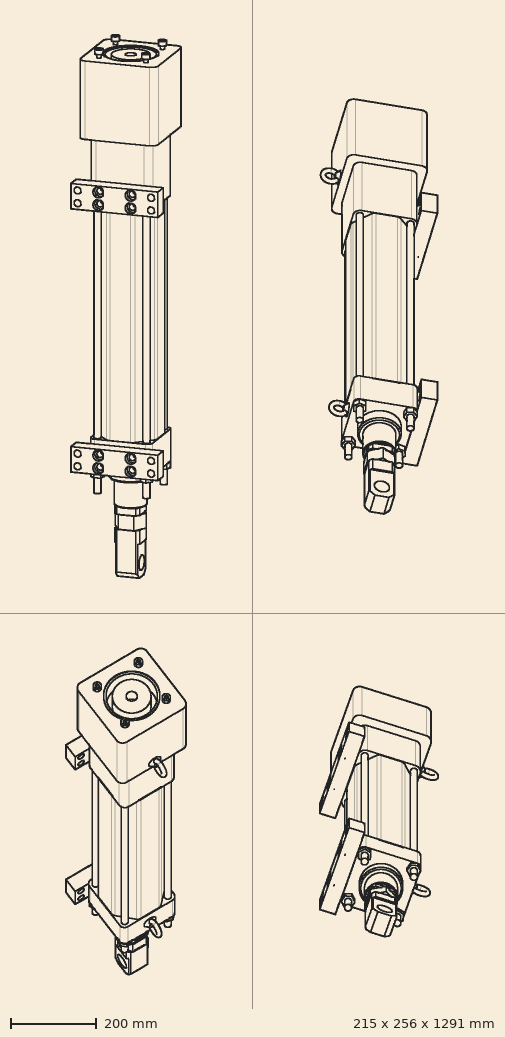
import cadquery as cq
import math

TOTAL_HEIGHT = 1291.0
ROD_END_SHOULDER_Z = 85.0
NUT_BOTTOM_Z = 119.0
ROD_BOTTOM_Z = 155.0
ROD_FLATS_TOP_Z = 173.0
TIE_ROD_BOTTOM_Z = 212.0
NOSE_BOTTOM_Z = 239.0
HEAD_BOTTOM_Z = 267.0
HEAD_TOP_Z = 346.0
COLLAR_BOTTOM_Z = 914.0
MOTOR_BOTTOM_Z = 1079.0
MOTOR_TOP_Z = 1270.0

HEXAGON_SIDES = 6

BODY_SIZE = 152.0
TUBE_SIDES = 8
TUBE_SIZE = 150.0
HEAD_CORNER = 13.0
COLLAR_CORNER = 17.0
TUBE_CORNER = 13.0
MOTOR_SIZE = 192.0
MOTOR_CORNER = 17.0
NOSE_DIAMETER = 102.0
NOSE_CHAMFER = 4.0

TIE_ROD_OFFSET = 61.0
TIE_ROD_DIAMETER = 17.0
TIE_NUT_DIAMETER = 32.0
TIE_NUT_HEIGHT = 15.0

PILOT_DIAMETER = 132.0
PILOT_DEPTH = 3.0
GROOVE_OUTER_DIAMETER = 120.0
GROOVE_INNER_DIAMETER = 90.0
GROOVE_DEPTH = 52.0
SHAFT_HOLE_DIAMETER = 26.0
SHAFT_HOLE_DEPTH = 39.0

SCREW_OFFSET = 58.0
SCREW_HEAD_DIAMETER = 20.0
SCREW_HEAD_HEIGHT = 12.0
SCREW_SHANK_DIAMETER = 10.1
SCREW_SOCKET_DIAMETER = 10.0
SCREW_SOCKET_DEPTH = 6.0

EYEBOLT_RING_DIAMETER = 36.0
EYEBOLT_WIRE_DIAMETER = 12.0
EYEBOLT_STANDOFF = 21.0
EYEBOLT_BASE_DIAMETER = 34.0
EYEBOLT_TIP_DIAMETER = 17.0
EYEBOLT_BASE_HEIGHT = 10.0
EYEBOLT_RISE = 20.0
UPPER_EYEBOLT_Z = MOTOR_BOTTOM_Z + EYEBOLT_RISE
LOWER_EYEBOLT_Z = (HEAD_BOTTOM_Z + HEAD_TOP_Z) / 2

FOOT_LENGTH = 215.0
FOOT_THICKNESS = 39.0
FOOT_HEIGHT = 62.0
FOOT_CENTRES_Z = (303.0, 944.0)
FOOT_ROW_SPACING = 31.0
FOOT_HOLE_SPACING = 182.0
FOOT_HOLE_DIAMETER = 17.0
FOOT_BOLT_SPACING = 80.0
FOOT_BOLT_DIAMETER = 15.0
FOOT_COUNTERBORE_DIAMETER = 26.0
FOOT_COUNTERBORE_DEPTH = 13.0

ROD_DIAMETER = 77.0
ROD_FLATS = 62.0
ROD_CHAMFER = 3.0
NUT_DIAMETER = 77.0
EYE_THICKNESS = 54.0
EYE_HOLE_DIAMETER = 36.0
EYE_HOLE_Z = 34.0
EYE_END_CHAMFER = 14.0


def corners(offset):
    """The four points at +-offset in X and Y."""
    return [(x, y) for x in (-offset, offset) for y in (-offset, offset)]


def cylinder(diameter, bottom, top):
    return cq.Workplane("XY", origin=(0, 0, bottom)).circle(diameter / 2).extrude(top - bottom)


def rounded_block(size, corner, bottom, top):
    block = cq.Workplane("XY", origin=(0, 0, bottom)).rect(size, size).extrude(top - bottom)
    return block.edges("|Z").fillet(corner)


def flatted_bar(width_x, width_y, bottom, top):
    """A round bar of the rod diameter with two pairs of flats."""
    flats = cq.Workplane("XY", origin=(0, 0, bottom)).rect(width_x, width_y).extrude(top - bottom)
    return cylinder(ROD_DIAMETER, bottom, top).intersect(flats)


def octagonal_tube():
    across_corners = TUBE_SIZE / math.cos(math.pi / TUBE_SIDES)
    tube = (
        cq.Workplane("XY", origin=(0, 0, HEAD_TOP_Z))
        .transformed(rotate=(0, 0, 180 / TUBE_SIDES))
        .polygon(TUBE_SIDES, across_corners)
        .extrude(COLLAR_BOTTOM_Z - HEAD_TOP_Z)
    )
    return tube.edges("|Z").fillet(TUBE_CORNER)


def tie_rods():
    """Four rods from the collar down through the head, each with a nut under the head."""
    rods = (
        cq.Workplane("XY", origin=(0, 0, TIE_ROD_BOTTOM_Z))
        .pushPoints(corners(TIE_ROD_OFFSET))
        .circle(TIE_ROD_DIAMETER / 2)
        .extrude(COLLAR_BOTTOM_Z - TIE_ROD_BOTTOM_Z)
    )
    for x, y in corners(TIE_ROD_OFFSET):
        corner_angle = math.degrees(math.atan2(y, x)) + 180 / HEXAGON_SIDES
        nut = (
            cq.Workplane("XY", origin=(x, y, HEAD_BOTTOM_Z - TIE_NUT_HEIGHT))
            .transformed(rotate=(0, 0, corner_angle))
            .polygon(HEXAGON_SIDES, TIE_NUT_DIAMETER)
            .extrude(TIE_NUT_HEIGHT)
        )
        rods = rods.union(nut)
    return rods


def motor_screws():
    """Four socket head screws standing proud of the motor block."""
    head_bottom = TOTAL_HEIGHT - SCREW_HEAD_HEIGHT
    shanks = (
        cq.Workplane("XY", origin=(0, 0, MOTOR_TOP_Z))
        .pushPoints(corners(SCREW_OFFSET))
        .circle(SCREW_SHANK_DIAMETER / 2)
        .extrude(head_bottom - MOTOR_TOP_Z)
    )
    heads = (
        cq.Workplane("XY", origin=(0, 0, head_bottom))
        .pushPoints(corners(SCREW_OFFSET))
        .circle(SCREW_HEAD_DIAMETER / 2)
        .extrude(SCREW_HEAD_HEIGHT)
    )
    sockets = (
        cq.Workplane("XY", origin=(0, 0, TOTAL_HEIGHT))
        .pushPoints(corners(SCREW_OFFSET))
        .polygon(HEXAGON_SIDES, SCREW_SOCKET_DIAMETER)
        .extrude(-SCREW_SOCKET_DEPTH)
    )
    return shanks.union(heads).cut(sockets)


def motor_recess():
    """Shallow pilot bore, ring groove around the hub, and the hub's shaft hole."""
    pilot = cylinder(PILOT_DIAMETER, MOTOR_TOP_Z - PILOT_DEPTH, MOTOR_TOP_Z)
    groove = cylinder(GROOVE_OUTER_DIAMETER, MOTOR_TOP_Z - GROOVE_DEPTH, MOTOR_TOP_Z)
    hub = cylinder(GROOVE_INNER_DIAMETER, MOTOR_TOP_Z - GROOVE_DEPTH, MOTOR_TOP_Z - PILOT_DEPTH)
    shaft_hole = cylinder(SHAFT_HOLE_DIAMETER, MOTOR_TOP_Z - SHAFT_HOLE_DEPTH, MOTOR_TOP_Z)
    return pilot.union(groove).cut(hub).union(shaft_hole)


def eyebolt(face_y, z):
    """A lifting eye on the +Y face at face_y; its ring axis runs along X."""
    ring_radius = EYEBOLT_RING_DIAMETER / 2
    ring = cq.Workplane(
        cq.Solid.makeTorus(
            ring_radius,
            EYEBOLT_WIRE_DIAMETER / 2,
            cq.Vector(0, face_y + EYEBOLT_STANDOFF, z),
            cq.Vector(1, 0, 0),
        )
    )
    base = cq.Workplane(
        cq.Solid.makeCone(
            EYEBOLT_BASE_DIAMETER / 2,
            EYEBOLT_TIP_DIAMETER / 2,
            EYEBOLT_BASE_HEIGHT,
            cq.Vector(0, face_y, z),
            cq.Vector(0, 1, 0),
        )
    )
    return ring.union(base)


def make_housing():
    head = rounded_block(BODY_SIZE, HEAD_CORNER, HEAD_BOTTOM_Z, HEAD_TOP_Z)
    collar = rounded_block(BODY_SIZE, COLLAR_CORNER, COLLAR_BOTTOM_Z, MOTOR_BOTTOM_Z)
    motor = rounded_block(MOTOR_SIZE, MOTOR_CORNER, MOTOR_BOTTOM_Z, MOTOR_TOP_Z)
    nose = cylinder(NOSE_DIAMETER, NOSE_BOTTOM_Z, HEAD_BOTTOM_Z)
    nose = nose.faces("<Z").chamfer(NOSE_CHAMFER)
    housing = head.union(octagonal_tube()).union(collar).union(motor).union(nose)
    housing = housing.union(tie_rods()).union(motor_screws())
    housing = housing.union(eyebolt(MOTOR_SIZE / 2, UPPER_EYEBOLT_Z))
    housing = housing.union(eyebolt(BODY_SIZE / 2, LOWER_EYEBOLT_Z))
    return housing.cut(motor_recess())


def make_foot(centre_z):
    """A cross bar on the -Y face with through holes at its ends and counterbored bolt holes."""
    front_y = -BODY_SIZE / 2 - FOOT_THICKNESS
    foot = (
        cq.Workplane("XZ", origin=(0, front_y, centre_z))
        .rect(FOOT_LENGTH, FOOT_HEIGHT)
        .extrude(-FOOT_THICKNESS)
    )
    front = cq.Workplane("XZ", origin=(0, front_y, centre_z))
    end_holes = (
        front.rarray(FOOT_HOLE_SPACING, FOOT_ROW_SPACING, 2, 2)
        .circle(FOOT_HOLE_DIAMETER / 2)
        .extrude(-FOOT_THICKNESS)
    )
    bolt_pattern = front.rarray(FOOT_BOLT_SPACING, FOOT_ROW_SPACING, 2, 2)
    bolt_holes = bolt_pattern.circle(FOOT_BOLT_DIAMETER / 2).extrude(-FOOT_THICKNESS)
    counterbores = bolt_pattern.circle(FOOT_COUNTERBORE_DIAMETER / 2).extrude(-FOOT_COUNTERBORE_DEPTH)
    return foot.cut(end_holes).cut(bolt_holes).cut(counterbores)


def make_rod():
    shaft = cylinder(ROD_DIAMETER, ROD_FLATS_TOP_Z, NOSE_BOTTOM_Z).faces("<Z").chamfer(ROD_CHAMFER)
    return shaft.union(flatted_bar(ROD_FLATS, ROD_FLATS, ROD_BOTTOM_Z, ROD_FLATS_TOP_Z))


def make_rod_end():
    """Hexagonal nut, flatted shank and an eye blade with a cross hole along X."""
    nut = (
        cq.Workplane("XY", origin=(0, 0, NUT_BOTTOM_Z))
        .polygon(HEXAGON_SIDES, NUT_DIAMETER)
        .extrude(ROD_BOTTOM_Z - NUT_BOTTOM_Z)
    )
    shank = flatted_bar(ROD_FLATS, ROD_FLATS, ROD_END_SHOULDER_Z, NUT_BOTTOM_Z)
    blade = flatted_bar(EYE_THICKNESS, ROD_FLATS, 0, ROD_END_SHOULDER_Z)
    half_width = ROD_FLATS / 2
    end_half_width = half_width - EYE_END_CHAMFER
    blade_outline = (
        cq.Workplane("YZ")
        .moveTo(-end_half_width, 0)
        .lineTo(end_half_width, 0)
        .lineTo(half_width, EYE_END_CHAMFER)
        .lineTo(half_width, ROD_END_SHOULDER_Z)
        .lineTo(-half_width, ROD_END_SHOULDER_Z)
        .lineTo(-half_width, EYE_END_CHAMFER)
        .close()
        .extrude(EYE_THICKNESS / 2, both=True)
    )
    cross_hole = (
        cq.Workplane("YZ", origin=(0, 0, EYE_HOLE_Z))
        .circle(EYE_HOLE_DIAMETER / 2)
        .extrude(EYE_THICKNESS / 2, both=True)
    )
    return nut.union(shank).union(blade.intersect(blade_outline)).cut(cross_hole)


housing = make_housing()
feet = [make_foot(centre_z) for centre_z in FOOT_CENTRES_Z]
rod = make_rod()
rod_end = make_rod_end()

result = cq.Compound.makeCompound([housing.val(), *[foot.val() for foot in feet], rod.val(), rod_end.val()])